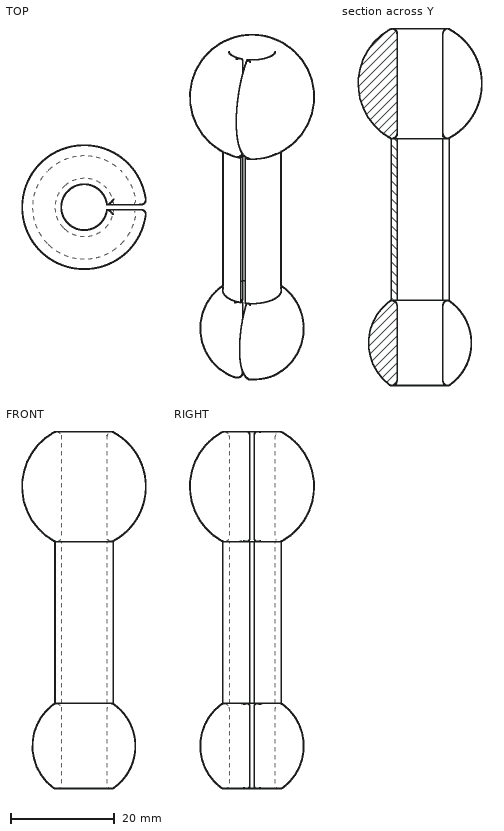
import cadquery as cq
import math

overall_length = 68.7
large_ball_radius = 11.99
small_ball_radius = 10.0
tube_radius = 5.65
bore_radius = 4.4
slot_width = 0.9
rim_fillet = 0.995


def ball_half_height(ball_radius):
    """Height from the ball centre to the crest of its rounded bore rim."""
    centre_radius = bore_radius + rim_fillet
    centre_height = math.sqrt((ball_radius - rim_fillet) ** 2 - centre_radius ** 2)
    return centre_height + rim_fillet


def cut_bore_and_slot(body, outer_radius, z_middle):
    """Cut a through bore and a narrow slot that opens it towards +X."""
    bore = cq.Workplane("XY").circle(bore_radius).extrude(overall_length / 2, both=True)
    slot = cq.Workplane("XY").box(
        2 * outer_radius, slot_width, overall_length, centered=(False, True, True)
    )
    return body.cut(bore.union(slot).translate((0, 0, z_middle)))


def make_ball(ball_radius, z_middle):
    """Bored, slotted ball with rounded edges where the cuts leave its surface."""
    ball = cut_bore_and_slot(cq.Workplane("XY").sphere(ball_radius), ball_radius, 0)
    cut_edges = ball.faces("not %SPHERE").edges().vals()
    rim_edges = [
        edge
        for edge in ball.faces("%SPHERE").edges().vals()
        if any(edge.isSame(cut_edge) for cut_edge in cut_edges)
    ]
    return ball.newObject(rim_edges).fillet(rim_fillet).translate((0, 0, z_middle))


def make_tube(z_bottom, z_top):
    """Slotted tube that spans the gap between the two balls."""
    tube = cq.Workplane("XY").workplane(offset=z_bottom).circle(tube_radius).extrude(z_top - z_bottom)
    return cut_bore_and_slot(tube, tube_radius, (z_bottom + z_top) / 2)


large_half_height = ball_half_height(large_ball_radius)
small_half_height = ball_half_height(small_ball_radius)
tube_bottom = 2 * small_half_height
tube_top = overall_length - 2 * large_half_height

small_ball = make_ball(small_ball_radius, small_half_height)
tube = make_tube(tube_bottom, tube_top)
large_ball = make_ball(large_ball_radius, overall_length - large_half_height)

result = cq.Compound.makeCompound([small_ball.val(), tube.val(), large_ball.val()])